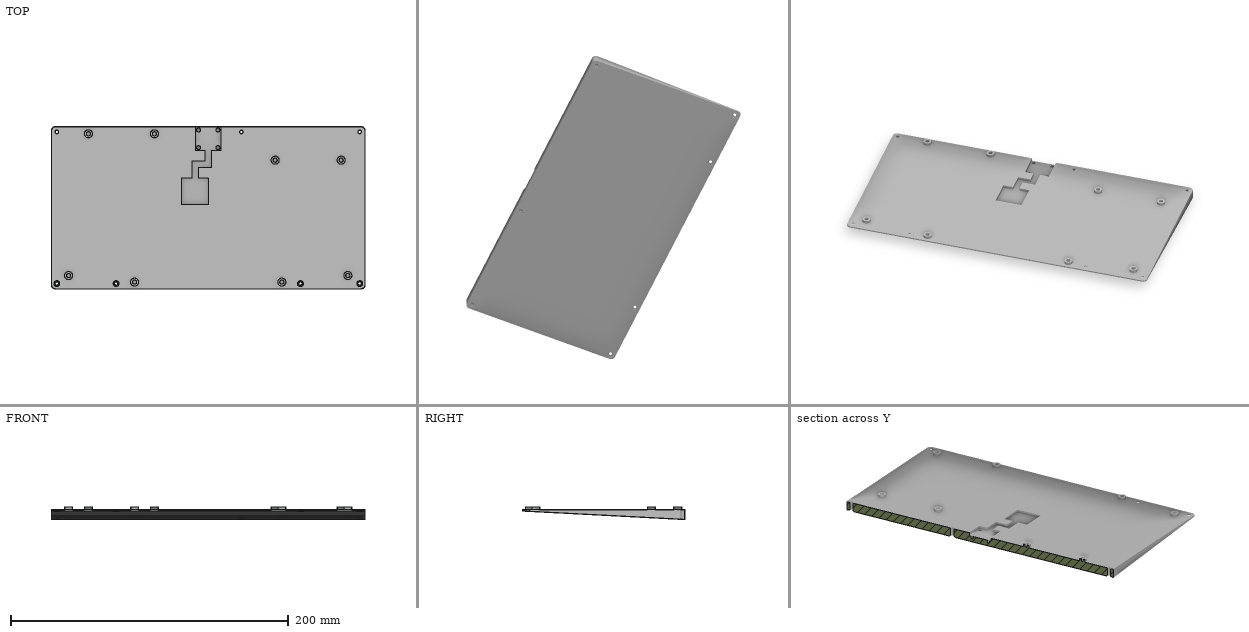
import cadquery as cq
import math

WIDTH = 226.4
DEPTH = 117.24
FRONT_THICKNESS = 1.0
SLOPE = math.tan(math.radians(3.0))
CORNER_RADIUS = 3.0
BACK_THICKNESS = FRONT_THICKNESS + DEPTH * SLOPE

KEY_PITCH = 19.05
STANDOFF_DIAMETER = 5.79
STANDOFF_HEIGHT = 2.0
STANDOFF_BORE_DIAMETER = 3.05
PAIR_SPACING = 2.5 * KEY_PITCH
FRONT_PAIR_STEP = KEY_PITCH / 4
BACK_LEFT_PAIR = (-86.5, 53.4)
BACK_RIGHT_PAIR = (48.3, BACK_LEFT_PAIR[1] - KEY_PITCH)
FRONT_LEFT_PAIR = (-100.8, -48.9)
FRONT_RIGHT_PAIR = (53.1, FRONT_LEFT_PAIR[1] - FRONT_PAIR_STEP)
STANDOFF_PAIRS = [
    (BACK_LEFT_PAIR, 0),
    (BACK_RIGHT_PAIR, 0),
    (FRONT_LEFT_PAIR, -FRONT_PAIR_STEP),
    (FRONT_RIGHT_PAIR, FRONT_PAIR_STEP),
]

SCREW_HOLE_DIAMETER = 2.4
COUNTERBORE_DIAMETER = 4.25
COUNTERBORE_DEPTH = 0.6
SCREW_INSET = 3.9
SCREW_X = WIDTH / 2 - SCREW_INSET
SCREW_Y = DEPTH / 2 - SCREW_INSET
FRONT_INNER_SCREW_X = 66.5
BACK_INNER_SCREW_X = 23.9

RECESS_DEPTH = 2.2
BAY_CENTER_X = 0.0
BAY_WIDTH = 18.1
BAY_LENGTH = 17.4
CHANNEL_WIDTH = 5.0
BACK_RUN_LENGTH = 7.3
FRONT_RUN_LENGTH = 7.5
CHANNEL_SHIFT = 9.4
POCKET_WIDTH = 19.5
POCKET_LENGTH = 18.9
POCKET_CENTER_X = BAY_CENTER_X - CHANNEL_SHIFT
POCKET_CORNER_RADIUS = 1.0
BAY_HOLE_DIAMETER = 2.9
BAY_HOLE_DEPTH = 2.0
BAY_HOLE_SPACING_X = 14.0
BAY_HOLE_SPACING_Y = 12.7
BAY_HOLE_BACK_INSET = 2.5


def make_body():
    half = DEPTH / 2
    side = [(-half, 0), (half, 0), (half, -BACK_THICKNESS), (-half, -FRONT_THICKNESS)]
    body = cq.Workplane("YZ").polyline(side).close().extrude(WIDTH / 2, both=True)
    return body.edges("|Z").fillet(CORNER_RADIUS)


def standoff_points():
    points = []
    for (x, y), partner_offset in STANDOFF_PAIRS:
        points.append((x, y))
        points.append((x + PAIR_SPACING, y + partner_offset))
    return points


def add_standoffs(body):
    posts = (
        cq.Workplane("XY")
        .pushPoints(standoff_points())
        .circle(STANDOFF_DIAMETER / 2)
        .circle(STANDOFF_BORE_DIAMETER / 2)
        .extrude(STANDOFF_HEIGHT)
    )
    return body.union(posts)


def screw_points():
    points = [(BACK_INNER_SCREW_X, SCREW_Y)]
    for side in (-1, 1):
        points.append((side * SCREW_X, SCREW_Y))
        points.append((side * SCREW_X, -SCREW_Y))
        points.append((side * FRONT_INNER_SCREW_X, -SCREW_Y))
    return points


def cut_screw_holes(body):
    for x, y in screw_points():
        local_thickness = FRONT_THICKNESS + (y + DEPTH / 2) * SLOPE
        roof_height = -(local_thickness - COUNTERBORE_DEPTH)
        hole = cq.Workplane("XY").center(x, y).circle(SCREW_HOLE_DIAMETER / 2).extrude(-BACK_THICKNESS)
        counterbore = (
            cq.Workplane("XY", origin=(x, y, roof_height))
            .circle(COUNTERBORE_DIAMETER / 2)
            .extrude(-BACK_THICKNESS)
        )
        body = body.cut(hole).cut(counterbore)
    return body


def cut_recess(body):
    bay_left = BAY_CENTER_X - BAY_WIDTH / 2
    bay_right = BAY_CENTER_X + BAY_WIDTH / 2
    back_run_left = BAY_CENTER_X - CHANNEL_WIDTH / 2
    back_run_right = BAY_CENTER_X + CHANNEL_WIDTH / 2
    front_run_left = back_run_left - CHANNEL_SHIFT
    front_run_right = back_run_right - CHANNEL_SHIFT
    pocket_left = POCKET_CENTER_X - POCKET_WIDTH / 2
    pocket_right = POCKET_CENTER_X + POCKET_WIDTH / 2

    back_y = DEPTH / 2
    bay_front = back_y - BAY_LENGTH
    cross_back = bay_front - BACK_RUN_LENGTH
    cross_front = cross_back - CHANNEL_WIDTH
    pocket_back = cross_front - FRONT_RUN_LENGTH
    pocket_front = pocket_back - POCKET_LENGTH

    outline = [
        (bay_left, back_y),
        (bay_left, bay_front),
        (back_run_left, bay_front),
        (back_run_left, cross_back),
        (front_run_left, cross_back),
        (front_run_left, pocket_back),
        (pocket_left, pocket_back),
        (pocket_left, pocket_front),
        (pocket_right, pocket_front),
        (pocket_right, pocket_back),
        (front_run_right, pocket_back),
        (front_run_right, cross_front),
        (back_run_right, cross_front),
        (back_run_right, bay_front),
        (bay_right, bay_front),
        (bay_right, back_y),
    ]
    recess = cq.Workplane("XY").polyline(outline).close().extrude(-RECESS_DEPTH)
    rounded_corner = cq.selectors.NearestToPointSelector((pocket_right, pocket_back, -RECESS_DEPTH / 2))
    recess = recess.edges("|Z").edges(rounded_corner).fillet(POCKET_CORNER_RADIUS)
    return body.cut(recess)


def cut_bay_holes(body):
    center_y = DEPTH / 2 - BAY_HOLE_BACK_INSET - BAY_HOLE_SPACING_Y / 2
    holes = (
        cq.Workplane("XY", origin=(BAY_CENTER_X, center_y, -RECESS_DEPTH))
        .rarray(BAY_HOLE_SPACING_X, BAY_HOLE_SPACING_Y, 2, 2)
        .circle(BAY_HOLE_DIAMETER / 2)
        .extrude(-BAY_HOLE_DEPTH)
    )
    return body.cut(holes)


result = make_body()
result = add_standoffs(result)
result = cut_screw_holes(result)
result = cut_recess(result)
result = cut_bay_holes(result)